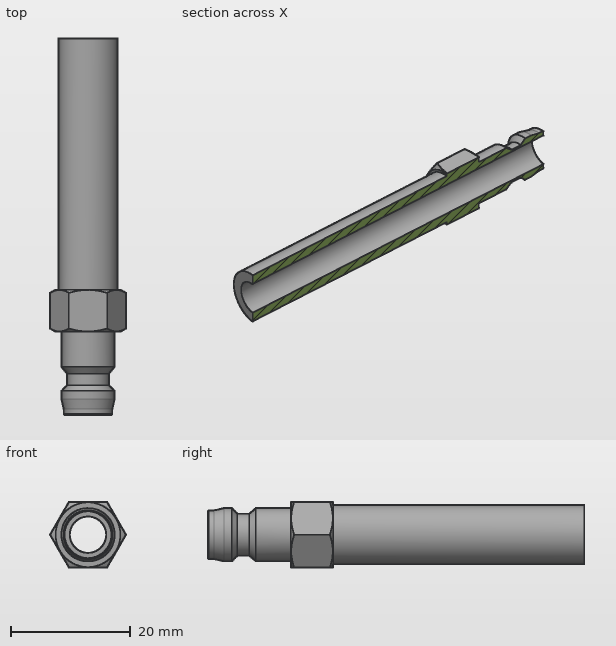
import cadquery as cq
import math

length = 63.0
hex_flats = 11.0
hex_corner_radius = hex_flats / math.sqrt(3)
hex_start = 13.9
hex_end = 21.0
hex_face_radius = 5.4
hex_chamfer_angle = 30.0

tube_radius = 5.0
plug_radius = 4.5
neck_radius = 3.5
tip_radius = 4.1
tip_chamfer = 0.2
bore_radius = 3.0

tip_end = 1.0
nose_end = 2.7
collar_end = 4.05
neck_start = 5.0
neck_end = 6.9
shoulder_start = 8.05


def revolve_about_y(profile):
    """Revolve a closed half profile of (radius, y) points around the Y axis."""
    return cq.Workplane("XY").polyline(profile).close().revolve(360, (0, 0, 0), (0, 1, 0))


def make_turned_body():
    """Plug with its locking groove, continuing into the plain tube."""
    return revolve_about_y([
        (0, 0),
        (tip_radius - tip_chamfer, 0),
        (tip_radius, tip_chamfer),
        (tip_radius, tip_end),
        (plug_radius, nose_end),
        (plug_radius, collar_end),
        (neck_radius, neck_start),
        (neck_radius, neck_end),
        (plug_radius, shoulder_start),
        (plug_radius, hex_start),
        (tube_radius, hex_start),
        (tube_radius, length),
        (0, length),
    ])


def make_hex():
    """Hexagon with corners on X, its corners turned down at both ends."""
    prism = (
        cq.Workplane("XZ", origin=(0, hex_end, 0))
        .polygon(6, 2 * hex_corner_radius)
        .extrude(hex_end - hex_start)
    )
    chamfer_depth = (hex_corner_radius - hex_face_radius) * math.tan(math.radians(hex_chamfer_angle))
    envelope = revolve_about_y([
        (0, hex_start),
        (hex_face_radius, hex_start),
        (hex_corner_radius, hex_start + chamfer_depth),
        (hex_corner_radius, hex_end - chamfer_depth),
        (hex_face_radius, hex_end),
        (0, hex_end),
    ])
    return prism.intersect(envelope)


def make_bore():
    """Plain bore through the full length."""
    return cq.Workplane("XZ", origin=(0, length, 0)).circle(bore_radius).extrude(length)


result = make_turned_body().union(make_hex()).cut(make_bore())